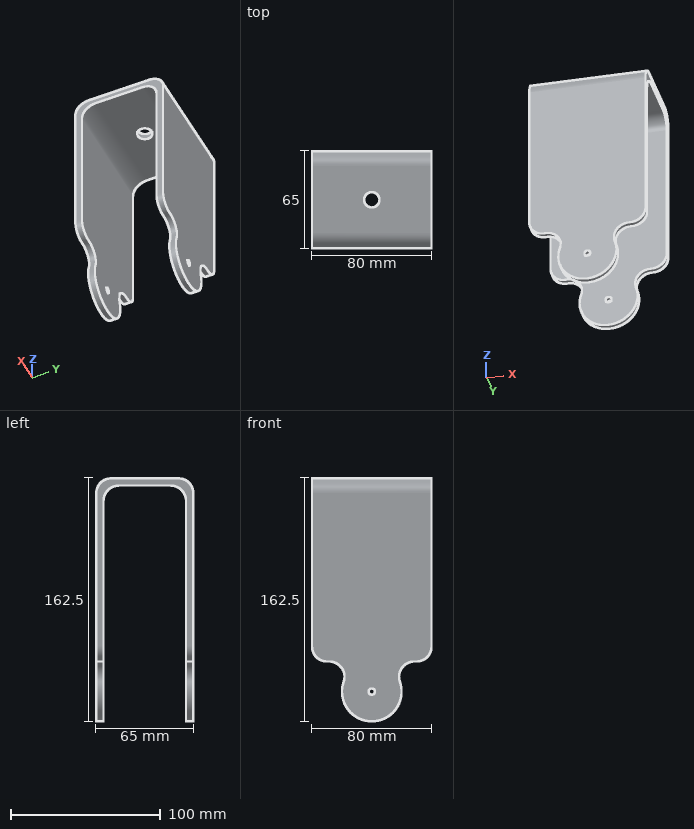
import cadquery as cq
import math

width = 80.0
depth = 65.0
height = 162.5
thickness = 5.0
bend_radius = 10.0
corner_radius = 10.0
neck_radius = 10.0
tab_radius = 20.0
shoulder_height = 40.0
pivot_hole_diameter = 4.0
top_hole_diameter = 10.0

tab_center_z = tab_radius
neck_center_z = shoulder_height - neck_radius
center_distance = tab_radius + neck_radius
neck_center_x = math.sqrt(center_distance**2 - (neck_center_z - tab_center_z)**2)
tab_share = tab_radius / center_distance
tangent_x = neck_center_x * tab_share
tangent_z = tab_center_z + (neck_center_z - tab_center_z) * tab_share


def bent_sheet():
    """Inverted U extruded across the full width."""
    outer = (
        cq.Workplane("XY")
        .box(width, depth, height, centered=(True, True, False))
        .edges("|X and >Z")
        .fillet(bend_radius)
    )
    inner = (
        cq.Workplane("XY")
        .box(width, depth - 2 * thickness, height - thickness, centered=(True, True, False))
        .edges("|X and >Z")
        .fillet(bend_radius)
    )
    return outer.cut(inner)


def neck_midpoint(side):
    """Point halfway along the neck arc; side is +1 or -1 along X."""
    shoulder_angle = math.pi / 2
    tab_angle = math.pi + math.atan2(neck_center_z - tab_center_z, neck_center_x)
    angle = (shoulder_angle + tab_angle) / 2
    x = neck_center_x + neck_radius * math.cos(angle)
    z = neck_center_z + neck_radius * math.sin(angle)
    return (side * x, z)


def plate_outline():
    """Side plate silhouette with the round tab, extruded through the depth."""
    half_width = width / 2
    corner_x = half_width - corner_radius
    corner_z = shoulder_height + corner_radius
    corner_mid_x = corner_x + corner_radius * math.sqrt(0.5)
    corner_mid_z = corner_z - corner_radius * math.sqrt(0.5)
    return (
        cq.Workplane("XZ")
        .moveTo(-half_width, height)
        .lineTo(-half_width, corner_z)
        .threePointArc((-corner_mid_x, corner_mid_z), (-corner_x, shoulder_height))
        .lineTo(-neck_center_x, shoulder_height)
        .threePointArc(neck_midpoint(-1), (-tangent_x, tangent_z))
        .threePointArc((0, 0), (tangent_x, tangent_z))
        .threePointArc(neck_midpoint(1), (neck_center_x, shoulder_height))
        .lineTo(corner_x, shoulder_height)
        .threePointArc((corner_mid_x, corner_mid_z), (half_width, corner_z))
        .lineTo(half_width, height)
        .close()
        .extrude(depth / 2, both=True)
    )


def pivot_holes():
    """Cutter through both tabs along Y."""
    return (
        cq.Workplane("XZ")
        .center(0, tab_center_z)
        .circle(pivot_hole_diameter / 2)
        .extrude(depth / 2, both=True)
    )


def top_hole():
    """Cutter through the top web along Z."""
    return (
        cq.Workplane("XY")
        .workplane(offset=height - thickness)
        .circle(top_hole_diameter / 2)
        .extrude(thickness)
    )


result = bent_sheet().intersect(plate_outline()).cut(pivot_holes()).cut(top_hole())